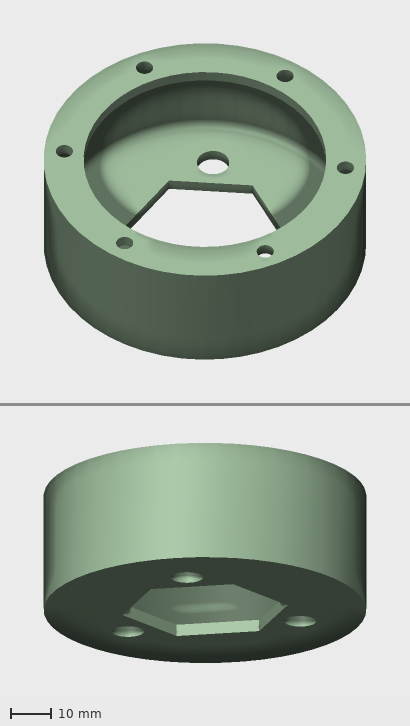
import cadquery as cq
import math

outer_diameter = 80.0
height = 30.0
side_wall = 2.0
floor_thickness = 3.0
lip_thickness = 3.0
mouth_diameter = 60.2

cavity_diameter = outer_diameter - 2 * side_wall
cavity_height = height - floor_thickness - lip_thickness
floor_fillet = 2.0

screw_count = 6
screw_diameter = 4.2
screw_circle_radius = 35.0
screw_start_angle = 30

hex_across_flats = 36.0
hex_across_corners = hex_across_flats / math.cos(math.radians(30))
floor_hole_count = 3
floor_hole_diameter = 8.0
floor_hole_circle_radius = 25.0


def cylinder(diameter, base_z, length):
    """Solid cylinder on the Z axis, rising from base_z."""
    return cq.Workplane("XY").workplane(offset=base_z).circle(diameter / 2).extrude(length)


def hole_ring(diameter, ring_radius, start_angle, count, base_z, length):
    """Cutters for equally spaced vertical holes around the Z axis."""
    return (
        cq.Workplane("XY")
        .workplane(offset=base_z)
        .polarArray(ring_radius, start_angle, 360, count)
        .circle(diameter / 2)
        .extrude(length)
    )


body = cylinder(outer_diameter, 0, height)
cavity = cylinder(cavity_diameter, floor_thickness, cavity_height).faces("<Z").edges().fillet(floor_fillet)
mouth = cylinder(mouth_diameter, height - lip_thickness, lip_thickness)

hex_opening = (
    cq.Workplane("XY")
    .polygon(6, hex_across_corners)
    .extrude(floor_thickness)
    .rotate((0, 0, 0), (0, 0, 1), 30)
)

floor_holes = hole_ring(
    floor_hole_diameter, floor_hole_circle_radius, 0, floor_hole_count, 0, floor_thickness
)
screw_holes = hole_ring(
    screw_diameter, screw_circle_radius, screw_start_angle, screw_count, height - lip_thickness, lip_thickness
)

result = body.cut(cavity).cut(mouth).cut(hex_opening).cut(floor_holes).cut(screw_holes)